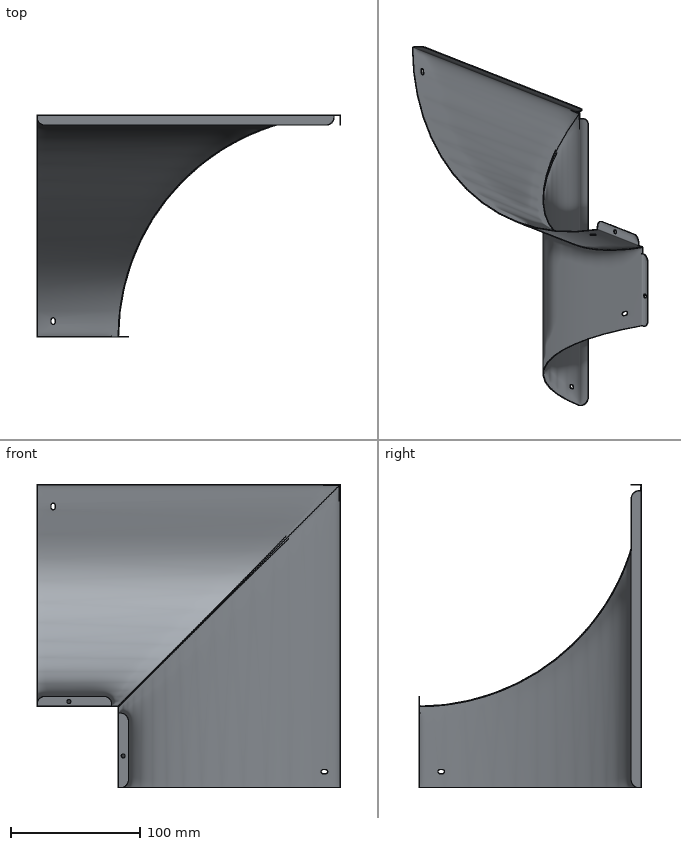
import cadquery as cq
import math


run_length = 235.0
outer_radius = 172.3
sheet = 0.5
bend_radius = 1.0
inner_radius = outer_radius - sheet
axis_offset = run_length
corner = run_length - outer_radius

flange_width = 8.0
flange_corner_radius = 6.0
flange_end_gap = 5.0

hole_diameter = 3.0
hole_from_end = 24.7
slot_width = 3.0
slot_length = 5.0
slot_from_end = 12.5
near_slot_distance = 12.5
far_slot_distance = 17.2

cut_depth = 23.5
slot_cut_start = 11.8
mitre_normal = cq.Vector(1, 0, -1)


def profile_face(offset):
    """Points of one face of the bent sheet, offset inward from the outer face.

    They run from the front flange tip, around both bends and the quarter arc,
    to the back flange tip. Each arc is given by its middle and end points.
    """
    bend_y = bend_radius
    bend_drop = math.sqrt((outer_radius - bend_radius) ** 2 - bend_y ** 2)
    arc_radius = outer_radius - offset
    radius = bend_radius - offset
    tilt = math.atan2(bend_y, bend_drop)

    tangent = (arc_radius * math.sin(tilt), arc_radius * math.cos(tilt))
    middle = arc_radius * math.sqrt(0.5)
    half_turn = (math.pi / 2 + tilt) / 2 - tilt
    bend_middle = (bend_y - radius * math.sin(half_turn), bend_drop + radius * math.cos(half_turn))

    front = [(offset, outer_radius - flange_width), (offset, bend_drop), bend_middle, tangent]
    back = [(drop, distance) for distance, drop in reversed(front)]
    points = front + [(middle, middle)] + back
    return [(y, axis_offset - drop) for y, drop in points]


def bent_sheet():
    """Quarter tube along X with a full-length rounded-on flange at each straight edge."""
    outer = profile_face(0)
    inner = profile_face(sheet)[::-1]
    outline = cq.Workplane("YZ").moveTo(*outer[0])
    for face in (outer, inner):
        tip, front_start, bend_1, arc_start, middle, arc_end, bend_2, bend_end, last_tip = face
        if face is inner:
            outline = outline.lineTo(*tip)
        outline = (
            outline.lineTo(*front_start)
            .threePointArc(bend_1, arc_start)
            .threePointArc(middle, arc_end)
            .threePointArc(bend_2, bend_end)
            .lineTo(*last_tip)
        )
    return outline.close().extrude(run_length)


def plain_sheet():
    """Quarter tube along X with no flanges."""
    ring = (
        cq.Workplane("YZ")
        .center(0, axis_offset)
        .circle(outer_radius)
        .circle(inner_radius)
        .extrude(run_length)
    )
    quarter = cq.Workplane("XY").box(run_length, outer_radius, run_length, centered=False)
    return ring.intersect(quarter)


def mitre_cutter(height):
    """Outer cylinder of the vertical half, which bevels the mitre edge."""
    return cq.Workplane("XY").center(axis_offset, 0).circle(outer_radius).extrude(height)


def flange_end_notches():
    """Cutters that end each flange, with its bend, short of the mitre."""
    back_start = run_length - flange_end_gap
    back_notch = (
        cq.Workplane("XY")
        .box(flange_end_gap, outer_radius, bend_radius, centered=False)
        .translate((back_start, 0, run_length - bend_radius))
    )
    front_start = corner - flange_end_gap
    front_notch = (
        cq.Workplane("XY")
        .box(run_length - front_start, bend_radius, flange_width, centered=False)
        .translate((front_start, 0, corner))
    )
    return back_notch, front_notch


def round_flange_corners(body):
    """Round the two free corners of both flanges."""
    back_y = outer_radius - flange_width
    back_z = run_length - sheet / 2
    front_z = corner + flange_width
    corners = [
        (0, back_y, back_z),
        (run_length - flange_end_gap, back_y, back_z),
        (0, sheet / 2, front_z),
        (corner - flange_end_gap, sheet / 2, front_z),
    ]
    for point in corners:
        body = body.edges(cq.selectors.NearestToPointSelector(point)).fillet(flange_corner_radius)
    return body


def flange_hole():
    """Cutter for the screw hole through the front flange."""
    return (
        cq.Workplane("XZ")
        .center(hole_from_end, corner + flange_width / 2)
        .circle(hole_diameter / 2)
        .extrude(-cut_depth)
    )


def slot_cutters(back_distance, front_distance):
    """Slots across the open end, one by the back edge and one by the front edge."""
    back_slot = (
        cq.Workplane("XZ", origin=(0, outer_radius - slot_cut_start, 0))
        .center(slot_from_end, run_length - back_distance)
        .slot2D(slot_length, slot_width, 90)
        .extrude(-cut_depth)
    )
    front_slot = (
        cq.Workplane("XY", origin=(0, 0, corner + slot_cut_start))
        .center(slot_from_end, front_distance)
        .slot2D(slot_length, slot_width, 90)
        .extrude(-cut_depth)
    )
    return back_slot, front_slot


def elbow_half(back_slot_distance, front_slot_distance):
    """One half in its horizontal position."""
    half = bent_sheet().cut(mitre_cutter(run_length - bend_radius))
    unbent_sheet = plain_sheet().cut(mitre_cutter(run_length))
    notches = flange_end_notches()
    for notch in notches:
        half = half.cut(notch)
    half = round_flange_corners(half).cut(flange_hole())
    for notch in notches:
        half = half.union(unbent_sheet.intersect(notch))
    for cutter in slot_cutters(back_slot_distance, front_slot_distance):
        half = half.cut(cutter)
    return half


horizontal_half = elbow_half(far_slot_distance, near_slot_distance)
vertical_half = elbow_half(near_slot_distance, far_slot_distance).mirror(mitre_normal)

result = cq.Compound.makeCompound([*horizontal_half.solids().vals(), *vertical_half.solids().vals()])